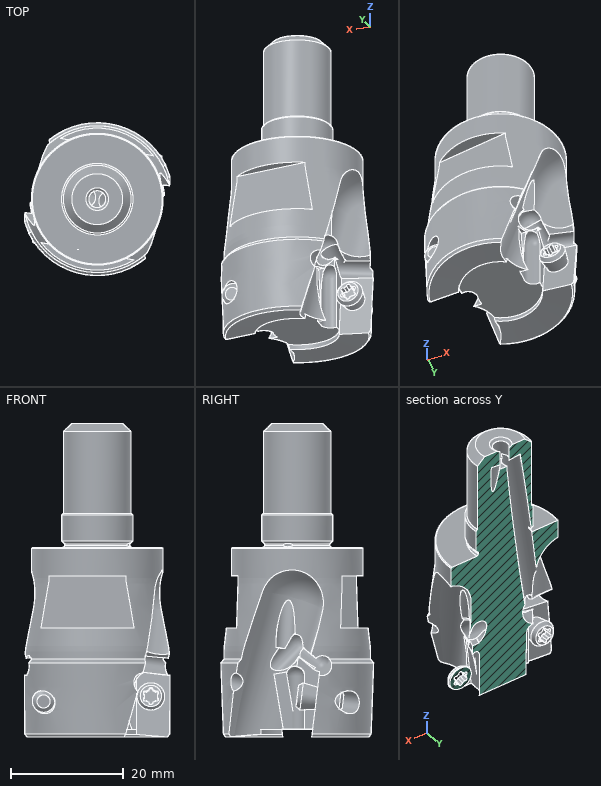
import cadquery as cq
import math


FULL_TURN = 360
FLUTE_COUNT = 2

TOTAL_HEIGHT = 55.75
SHANK_RADIUS = 6.0
SHANK_TIP_RADIUS = 4.5
SHANK_TIP_Z = 54.3
GUIDE_RADIUS = 6.35
GUIDE_TOP_Z = 39.75
GUIDE_BOTTOM_Z = 34.85
GUIDE_CHAMFER = 0.3
NECK_RADIUS = 5.8
NECK_FLARE = 0.35

COLLAR_TOP_Z = 33.65
COLLAR_RADIUS = 11.7
COLLAR_CHAMFER = 0.15
CONE_TOP_Z = 27.75
BAND_TOP_Z = 15.6
CONE_BLEND_RADIUS = 8.9
BAND_RADIUS = 13.05
BAND_BOTTOM_Z = 13.8
HEAD_TOP_Z = 13.15
HEAD_TOP_RADIUS = 13.6
HEAD_BOTTOM_RADIUS = 13.15
HEAD_CHAMFER_Z = 0.55
FOOT_RADIUS = 12.75
DISH_RADIUS = 7.45
DISH_RIM_Z = 0.45
DISH_DEPTH = 1.35

FLAT_DISTANCE = 9.4
FLAT_TOP_Z = 28.65
FLAT_BOTTOM_Z = 19.4
FLAT_TURN = 10.6

BORE_RADIUS = 1.5
BORE_MOUTH_RADIUS = 2.0
BORE_DEPTH = 4.45
BRANCH_RADIUS = 1.7
BRANCH_LENGTH = 36.8
BRANCH_TOP = cq.Vector(-1.9, 0.3, 52.4)
BRANCH_POINT = cq.Vector(-5.3, 1.7, 23.4)

GULLET_RADIUS = 5.8
GULLET_TOP = cq.Vector(-12.7, 0.95, 23.95)
GULLET_AXIS = cq.Vector(0.14, 0.28, -1)
GULLET_LENGTH = 32.3
GULLET_WALL_TOP_TURN = 135
GULLET_WALL_FOOT_TURN = 110
GULLET_WALL_LENGTH = 8.9

SEAT_Y = -2.55
SEAT_TILT = 6.9
SEAT_TOP_Z = 13.65
SEAT_WALL_X = -6.95
SEAT_WALL_HEIGHT = 5.6

CLEAR = 16.7

TOOL_RADIUS = 1.7
GROOVE_X = -6.35
GROOVE_Y = 0.35
GROOVE_TOP_Z = 10.85
CORNER_X = -4.7
CORNER_WIDTH = 2.25
CORNER_TOP_Z = 11.7
CORNER_TILT = 9.5
RELIEF_RADIUS = 1.95
RELIEF_BEND = cq.Vector(-5.6, -0.15, 16.6)
RELIEF_END = cq.Vector(-6.7, -3.95, 13.45)
RELIEF_AXIS = cq.Vector(-1, -0.08, -0.13)
RELIEF_RUN_OUT = cq.Vector(-0.25, 0.7, -0.7)
RELIEF_RUN_OUT_LENGTH = 10.05

SCREW_X = -9.55
SCREW_Z = 7.3
SCREW_RADIUS = 2.0
SCREW_LENGTH = 8.2
SCREW_TIP_RADIUS = 1.15
SCREW_TIP_CHAMFER = 0.55
HEAD_RADIUS = 2.45
HEAD_FACE_RADIUS = 1.9
HEAD_RIM_DEPTH = 0.8
HEAD_CONE_DEPTH = 3.35
SOCKET_DEPTH = 1.65
SOCKET_CORE_RADIUS = 1.15
SOCKET_LOBE_RADIUS = 0.35
SOCKET_LOBE_COUNT = 6
SOCKET_START_ANGLE = 90
ACCESS_RADIUS = 1.9
ACCESS_AXIS = cq.Vector(0.095, 1, 0.2)

AXIS_START = (0, 0, 0)
AXIS_END = (0, 0, 1)
X_AXIS_END = (1, 0, 0)
SKETCH_UP = (0, 1, 0)


def rod(start, direction, radius, length):
    """Round rod that starts at a point and runs along a direction."""
    return cq.Workplane(obj=cq.Solid.makeCylinder(radius, length, start, direction))


def ball(center, radius):
    """Sphere about a point."""
    return cq.Workplane("XY").sphere(radius).translate(center.toTuple())


def for_each_flute(shape):
    """Copies of a -X flute feature, one for each flute."""
    turn = FULL_TURN / FLUTE_COUNT
    return [shape.rotate(AXIS_START, AXIS_END, i * turn) for i in range(FLUTE_COUNT)]


def make_blank():
    """Turned outline of shank, collar and head."""
    outline = (
        cq.Workplane("XZ")
        .moveTo(0, DISH_DEPTH)
        .lineTo(DISH_RADIUS, DISH_DEPTH)
        .lineTo(DISH_RADIUS, DISH_RIM_Z)
        .lineTo(FOOT_RADIUS, 0)
        .lineTo(HEAD_BOTTOM_RADIUS, HEAD_CHAMFER_Z)
        .lineTo(HEAD_TOP_RADIUS, HEAD_TOP_Z)
        .lineTo(BAND_RADIUS, BAND_BOTTOM_Z)
        .lineTo(BAND_RADIUS, BAND_TOP_Z)
        .lineTo(COLLAR_RADIUS, CONE_TOP_Z)
        .lineTo(COLLAR_RADIUS, COLLAR_TOP_Z - COLLAR_CHAMFER)
        .lineTo(COLLAR_RADIUS - COLLAR_CHAMFER, COLLAR_TOP_Z)
        .lineTo(NECK_RADIUS + NECK_FLARE, COLLAR_TOP_Z)
        .lineTo(NECK_RADIUS, COLLAR_TOP_Z + NECK_FLARE)
        .lineTo(NECK_RADIUS, GUIDE_BOTTOM_Z - (GUIDE_RADIUS - NECK_RADIUS))
        .lineTo(GUIDE_RADIUS, GUIDE_BOTTOM_Z)
        .lineTo(GUIDE_RADIUS, GUIDE_TOP_Z - GUIDE_CHAMFER)
        .lineTo(SHANK_RADIUS, GUIDE_TOP_Z)
        .lineTo(SHANK_RADIUS, SHANK_TIP_Z)
        .lineTo(SHANK_TIP_RADIUS, TOTAL_HEIGHT)
        .lineTo(0, TOTAL_HEIGHT)
        .close()
    )
    blank = outline.revolve(FULL_TURN, AXIS_START, SKETCH_UP)
    for z in (CONE_TOP_Z, BAND_TOP_Z):
        ring = cq.selectors.NearestToPointSelector((0, 0, z))
        blank = blank.edges("%CIRCLE").edges(ring).fillet(CONE_BLEND_RADIUS)
    return blank


def make_flat():
    """Material outside one wrench flat."""
    height = FLAT_TOP_Z - FLAT_BOTTOM_Z
    return (
        cq.Workplane("XY")
        .box(2 * CLEAR, CLEAR, height, centered=(True, False, False))
        .translate((0, FLAT_DISTANCE, FLAT_BOTTOM_Z))
        .rotate(AXIS_START, AXIS_END, -FLAT_TURN)
    )


def make_bore():
    """Coolant bore in the shank tip with a chamfered mouth."""
    mouth_z = TOTAL_HEIGHT - (BORE_MOUTH_RADIUS - BORE_RADIUS)
    return (
        cq.Workplane("XZ")
        .moveTo(0, TOTAL_HEIGHT - BORE_DEPTH)
        .lineTo(BORE_RADIUS, TOTAL_HEIGHT - BORE_DEPTH)
        .lineTo(BORE_RADIUS, mouth_z)
        .lineTo(BORE_MOUTH_RADIUS, TOTAL_HEIGHT)
        .lineTo(0, TOTAL_HEIGHT)
        .close()
        .revolve(FULL_TURN, AXIS_START, SKETCH_UP)
    )


def make_branch():
    """Coolant branch that runs from the bore into the gullet."""
    axis = BRANCH_POINT - BRANCH_TOP
    return rod(BRANCH_TOP, axis, BRANCH_RADIUS, BRANCH_LENGTH)


def gullet_wall_direction(turn):
    """Outward direction of the gullet wall, square to the gullet axis, at a turn from +X."""
    plane = cq.Plane(GULLET_TOP, xDir=(1, 0, GULLET_AXIS.x), normal=GULLET_AXIS)
    angle = math.radians(turn)
    return plane.xDir * math.cos(angle) - plane.yDir * math.sin(angle)


def gullet_wall_section(center, turn):
    """Closed rectangle that runs outwards from the gullet axis."""
    plane = cq.Plane(center, xDir=gullet_wall_direction(turn), normal=GULLET_AXIS)
    section = cq.Workplane(plane).center(GULLET_WALL_LENGTH / 2, 0)
    return section.rect(GULLET_WALL_LENGTH, 2 * GULLET_RADIUS).val()


def make_gullet():
    """Ball-nosed groove whose +Y side runs outwards as a twisted wall with a round top end."""
    foot = GULLET_TOP + GULLET_AXIS.normalized() * GULLET_LENGTH
    groove = rod(GULLET_TOP, GULLET_AXIS, GULLET_RADIUS, GULLET_LENGTH)
    wall_top = rod(
        GULLET_TOP, gullet_wall_direction(GULLET_WALL_TOP_TURN), GULLET_RADIUS, GULLET_WALL_LENGTH
    )
    wall = cq.Solid.makeLoft(
        [
            gullet_wall_section(GULLET_TOP, GULLET_WALL_TOP_TURN),
            gullet_wall_section(foot, GULLET_WALL_FOOT_TURN),
        ],
        True,
    )
    return groove.union(ball(GULLET_TOP, GULLET_RADIUS)).union(wall_top).union(cq.Workplane(obj=wall))


def make_seat():
    """Insert pocket with a flat seat that faces +Y and an inner wall that faces -X."""
    return (
        cq.Workplane("XY")
        .box(CLEAR, SEAT_WALL_HEIGHT, SEAT_TOP_Z + CLEAR, centered=False)
        .translate((SEAT_WALL_X - CLEAR, 0, -CLEAR))
        .rotate(AXIS_START, X_AXIS_END, SEAT_TILT)
        .translate((0, SEAT_Y, 0))
    )


def make_groove():
    """Upright round-ended groove behind the seat wall, widened towards the gullet by a slanted corner."""
    top = cq.Vector(GROOVE_X, GROOVE_Y, GROOVE_TOP_Z)
    groove = rod(top, cq.Vector(0, 0, -1), TOOL_RADIUS, CLEAR).union(ball(top, TOOL_RADIUS))
    corner = (
        cq.Workplane("XY")
        .box(CLEAR, CORNER_WIDTH, CLEAR + CORNER_TOP_Z, centered=False)
        .translate((CORNER_X - CLEAR, 0, -CLEAR))
        .rotate(AXIS_START, X_AXIS_END, -CORNER_TILT)
    )
    return groove.union(corner)


def make_relief():
    """Cutters of the round-ended relief above the seat and its run-out across the gullet floor."""
    step = RELIEF_END - RELIEF_BEND
    slope = math.degrees(math.atan2(-step.z, -step.y))
    channel = (
        cq.Workplane("XY")
        .box(CLEAR, step.Length, TOOL_RADIUS, centered=False)
        .translate((-CLEAR, -step.Length, -TOOL_RADIUS))
        .rotate(AXIS_START, X_AXIS_END, slope)
        .translate(RELIEF_BEND.toTuple())
    )
    return [
        rod(RELIEF_BEND, RELIEF_RUN_OUT, RELIEF_RADIUS, RELIEF_RUN_OUT_LENGTH),
        rod(RELIEF_BEND, step, TOOL_RADIUS, step.Length),
        rod(RELIEF_END, RELIEF_AXIS, TOOL_RADIUS, CLEAR),
        channel,
        ball(RELIEF_BEND, RELIEF_RADIUS),
        ball(RELIEF_END, TOOL_RADIUS),
    ]


def screw_plane():
    """Plane at the screw head face; its normal is the screw axis, from the head to the tip."""
    tilt = math.radians(SEAT_TILT)
    normal = (0, -math.cos(tilt), -math.sin(tilt))
    return cq.Plane((SCREW_X, 0, SCREW_Z), xDir=(1, 0, 0), normal=normal)


def make_screw_hole():
    """Hole for the screw, from the seat to the outside of the head."""
    plane = screw_plane()
    return rod(plane.origin, plane.zDir, SCREW_RADIUS, CLEAR)


def make_screw_access():
    """Groove in the gullet lip that lets the driver reach the screw."""
    return rod(screw_plane().origin, ACCESS_AXIS, ACCESS_RADIUS, CLEAR)


def make_screw():
    """Countersunk screw with a star socket and a chamfered tip."""
    plane = screw_plane()
    turned = (
        cq.Workplane("XZ")
        .lineTo(HEAD_FACE_RADIUS, 0)
        .lineTo(HEAD_RADIUS, HEAD_RIM_DEPTH)
        .lineTo(SCREW_RADIUS, HEAD_CONE_DEPTH)
        .lineTo(SCREW_RADIUS, SCREW_LENGTH - SCREW_TIP_CHAMFER)
        .lineTo(SCREW_TIP_RADIUS, SCREW_LENGTH)
        .lineTo(0, SCREW_LENGTH)
        .close()
        .revolve(FULL_TURN, AXIS_START, SKETCH_UP)
    )
    socket = (
        cq.Workplane("XY")
        .circle(SOCKET_CORE_RADIUS)
        .extrude(SOCKET_DEPTH)
        .union(
            cq.Workplane("XY")
            .polarArray(SOCKET_CORE_RADIUS, SOCKET_START_ANGLE, FULL_TURN, SOCKET_LOBE_COUNT)
            .circle(SOCKET_LOBE_RADIUS)
            .extrude(SOCKET_DEPTH)
        )
    )
    return cq.Workplane(obj=turned.cut(socket).val().moved(cq.Location(plane)))


body = make_blank().cut(make_bore())
flute_features = [
    make_flat(),
    make_branch(),
    make_gullet(),
    make_seat(),
    make_groove(),
    *make_relief(),
    make_screw_hole(),
    make_screw_access(),
]
for feature in flute_features:
    for cutter in for_each_flute(feature):
        body = body.cut(cutter)

screws = for_each_flute(make_screw())

result = cq.Compound.makeCompound([body.val(), *[screw.val() for screw in screws]])